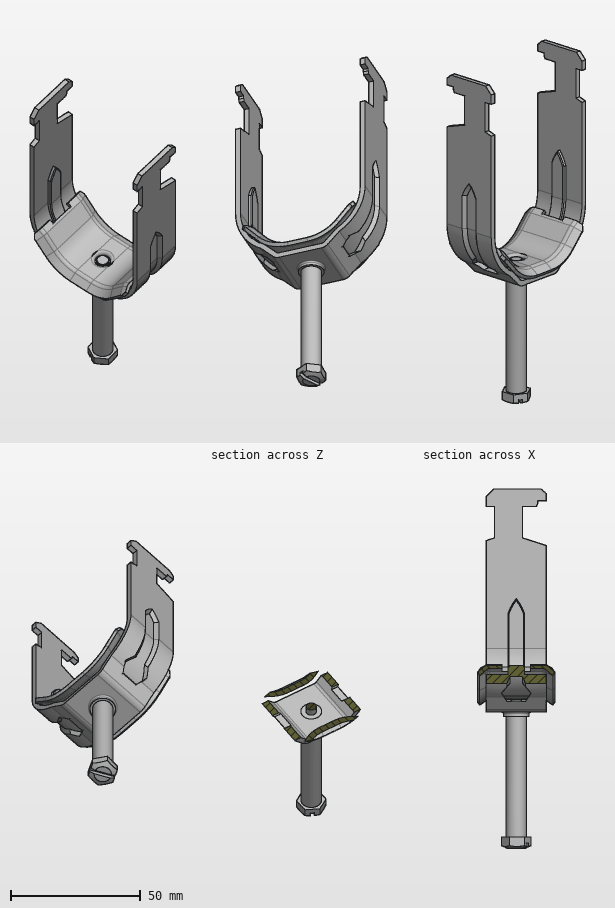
import cadquery as cq
import math

OVERALL_HEIGHT = 138.6
STRAP_SPAN = 53.6
STRAP_WIDTH = 23.3
STRAP_THICKNESS = 2.1
SHOULDER_RADIUS = 21.6
SHOULDER_Z = 77.0
BASE_Z = 52.5
BASE_HALF_LENGTH = 8.7
BASE_BEND_RADIUS = 3.7
RAMP_ANGLE = math.radians(45)

LEG_X = STRAP_SPAN / 2
HALF_WIDTH = STRAP_WIDTH / 2
SHOULDER_X = LEG_X - SHOULDER_RADIUS
SHOULDER_INNER_RADIUS = SHOULDER_RADIUS - STRAP_THICKNESS

HOOK_Z = 131.8
HOOK_STEP_Y = 8.3
HOOK_STEP_Z = 134.0
HOOK_STEP_RUN = 0.5
HOOK_STEP_DROP = 1.1
SMALL_CORNER_Y = 2.1
SMALL_CORNER_Z = 1.8
LARGE_CORNER = 2.9
NECK_FRONT_Y = -8.5
NECK_BACK_Y = 2.5
NECK_FOOT_Z = 119.8
SHOULDER_SLOPE = 0.32

RIB_WIDTH = 7.2
RIB_FLOOR_WIDTH = 4.7
RIB_POINT_BULGE = 0.6
RIB_DEPTH = 1.5
RIB_TIP_Z = 96.3
RIB_POINT_Z = 90.6
RIDGE_WIDTH = 6.4
RIDGE_BEVEL = 0.4
FLARE_WALL = 0.5
RIB_END_ANGLE = 53.0
FLARE_WIDTH = 11.4
FLARE_TOP_Z = 63.8
FLARE_WIDEST_Z = 59.9
FLARE_BOTTOM_Z = 56.8

COLLAR_DIAMETER = 10.0
COLLAR_FLARE = 0.5
COLLAR_HEIGHT = 1.7

SADDLE_Z = 59.0
SADDLE_THICKNESS = 1.5
SADDLE_FLAT_HALF = 4.0
SADDLE_RADIUS = 13.7
SADDLE_SLOPE = math.radians(48)
SADDLE_LIP_SLOPE = math.radians(35)
SADDLE_LIP_X = 19.4
SADDLE_END_X = 21.8
SADDLE_WIDTH = 30.0
FLANGE_START_Y = 10.3
FLANGE_BEND_RADIUS = 3.0
FLANGE_ANGLE = math.radians(34)
SADDLE_HOLE_DIAMETER = 6.0
SADDLE_HOLE_ROUND = 1.4
NOTCH_WIDTH = 10.8
NOTCH_X = 20.4
END_CORNER_X = 1.8
END_CORNER_Y = 2.1

SCREW_DIAMETER = 8.0
HEAD_HEIGHT = 4.5
HEAD_ACROSS_FLATS = 10.0
HEAD_TURN = 2.5
HEAD_FLAT_DIAMETER = 6.7
HEAD_BEVEL_HEIGHT = 1.1
SLOT_WIDTH = 1.5
SLOT_DEPTH = 2.1
SLOT_ANGLE = 62.0
NECK_DIAMETER = 4.0
TIP_DIAMETER = 5.0
TIP_END_DIAMETER = 4.5
TIP_DEPTH = 0.7


def on_shoulder(radius, angle):
    """Point of a shoulder bend; the angle is measured below the horizontal."""
    return (SHOULDER_X + radius * math.cos(angle), SHOULDER_Z - radius * math.sin(angle))


def strap_side_edge(shoulder_radius, base_radius, base_z, leg_x):
    """Points of one face of the strap half: base, bend, ramp, shoulder and leg."""
    bend_z = base_z + base_radius
    ramp_offset = base_radius + math.sin(RAMP_ANGLE) * (BASE_HALF_LENGTH - SHOULDER_X)
    ramp_offset += math.cos(RAMP_ANGLE) * (SHOULDER_Z - bend_z)
    kink_angle = RAMP_ANGLE + math.acos(ramp_offset / shoulder_radius)

    def on_bend(angle):
        return (BASE_HALF_LENGTH + base_radius * math.sin(angle), bend_z - base_radius * math.cos(angle))

    return {
        "base_end": on_bend(0),
        "bend_middle": on_bend(RAMP_ANGLE / 2),
        "ramp_start": on_bend(RAMP_ANGLE),
        "kink": on_shoulder(shoulder_radius, kink_angle),
        "shoulder_middle": on_shoulder(shoulder_radius, kink_angle / 2),
        "leg_start": (leg_x, SHOULDER_Z),
    }


def strap_half_sheet():
    inner_base_z = BASE_Z + STRAP_THICKNESS
    inner_leg_x = LEG_X - STRAP_THICKNESS
    inner_bend_radius = BASE_BEND_RADIUS - STRAP_THICKNESS
    outer = strap_side_edge(SHOULDER_RADIUS, BASE_BEND_RADIUS, BASE_Z, LEG_X)
    inner = strap_side_edge(SHOULDER_INNER_RADIUS, inner_bend_radius, inner_base_z, inner_leg_x)
    return (
        cq.Workplane("XZ")
        .moveTo(0, BASE_Z)
        .lineTo(*outer["base_end"])
        .threePointArc(outer["bend_middle"], outer["ramp_start"])
        .lineTo(*outer["kink"])
        .threePointArc(outer["shoulder_middle"], outer["leg_start"])
        .lineTo(LEG_X, OVERALL_HEIGHT)
        .lineTo(inner_leg_x, OVERALL_HEIGHT)
        .lineTo(*inner["leg_start"])
        .threePointArc(inner["shoulder_middle"], inner["kink"])
        .lineTo(*inner["ramp_start"])
        .threePointArc(inner["bend_middle"], inner["base_end"])
        .lineTo(0, inner_base_z)
        .close()
        .extrude(HALF_WIDTH, both=True)
    )


def leg_outline():
    """Prism along X with the outline of a leg, its neck and its hook."""
    front_edge_z = NECK_FOOT_Z - SHOULDER_SLOPE * (HALF_WIDTH + NECK_FRONT_Y)
    back_edge_z = NECK_FOOT_Z - SHOULDER_SLOPE * (HALF_WIDTH - NECK_BACK_Y)
    outline = [
        (-HALF_WIDTH, 0),
        (-HALF_WIDTH, front_edge_z),
        (NECK_FRONT_Y, NECK_FOOT_Z),
        (NECK_FRONT_Y, HOOK_Z),
        (-HALF_WIDTH, HOOK_Z),
        (-HALF_WIDTH, OVERALL_HEIGHT - LARGE_CORNER),
        (-HALF_WIDTH + LARGE_CORNER, OVERALL_HEIGHT),
        (HALF_WIDTH - SMALL_CORNER_Y, OVERALL_HEIGHT),
        (HALF_WIDTH, OVERALL_HEIGHT - SMALL_CORNER_Z),
        (HALF_WIDTH, HOOK_STEP_Z),
        (HOOK_STEP_Y, HOOK_STEP_Z),
        (HOOK_STEP_Y, HOOK_STEP_Z - HOOK_STEP_DROP),
        (HOOK_STEP_Y - HOOK_STEP_RUN, HOOK_Z),
        (NECK_BACK_Y, HOOK_Z),
        (NECK_BACK_Y, NECK_FOOT_Z),
        (HALF_WIDTH, back_edge_z),
        (HALF_WIDTH, 0),
    ]
    return cq.Workplane("YZ").polyline(outline).close().extrude(STRAP_SPAN)


def rib_outline(face_x, width):
    """Pointed outline of a rib on the leg, in the YZ plane at face_x."""
    half = width / 2
    side_y = RIB_POINT_BULGE * half
    side_z = (RIB_POINT_Z + RIB_TIP_Z) / 2
    return (
        cq.Workplane("YZ", origin=(face_x, 0, 0))
        .moveTo(-half, SHOULDER_Z)
        .lineTo(half, SHOULDER_Z)
        .lineTo(half, RIB_POINT_Z)
        .threePointArc((side_y, side_z), (0, RIB_TIP_Z))
        .threePointArc((-side_y, side_z), (-half, RIB_POINT_Z))
        .close()
    )


def turn_about_shoulder(section):
    """Turn a closed section, given as XY points, from the leg to the end of the rib."""
    return (
        cq.Workplane("XY", origin=(0, 0, SHOULDER_Z))
        .polyline(section)
        .close()
        .revolve(RIB_END_ANGLE, (SHOULDER_X, 0), (SHOULDER_X, 1))
    )


def flare_prism(margin):
    """Prism along X that widens the lower end of the rib and narrows again."""
    half_top = RIB_FLOOR_WIDTH / 2 + margin
    half_wide = FLARE_WIDTH / 2 + margin
    half_bottom = RIB_WIDTH / 2 + margin
    outline = [
        (-half_top, FLARE_TOP_Z),
        (-half_wide, FLARE_WIDEST_Z),
        (-half_bottom, FLARE_BOTTOM_Z),
        (half_bottom, FLARE_BOTTOM_Z),
        (half_wide, FLARE_WIDEST_Z),
        (half_top, FLARE_TOP_Z),
    ]
    return cq.Workplane("YZ").polyline(outline).close().extrude(STRAP_SPAN)


def raised_rib():
    """Ridge on the inner face: straight walls and a bevelled crest."""
    inner_face_x = LEG_X - STRAP_THICKNESS
    crest_x = inner_face_x - RIB_DEPTH
    half = RIDGE_WIDTH / 2
    leg_ridge = rib_outline(inner_face_x, RIDGE_WIDTH).extrude(-RIB_DEPTH)
    leg_ridge = leg_ridge.faces("<X").edges("not <Z").chamfer(RIDGE_BEVEL)
    shoulder_ridge = turn_about_shoulder([
        (inner_face_x, -half),
        (inner_face_x, half),
        (crest_x + RIDGE_BEVEL, half),
        (crest_x, half - RIDGE_BEVEL),
        (crest_x, RIDGE_BEVEL - half),
        (crest_x + RIDGE_BEVEL, -half),
    ])
    full_width_band = turn_about_shoulder([
        (crest_x, -HALF_WIDTH),
        (inner_face_x, -HALF_WIDTH),
        (inner_face_x, HALF_WIDTH),
        (crest_x, HALF_WIDTH),
    ])
    flare = full_width_band.intersect(flare_prism(FLARE_WALL))
    return leg_ridge.union(shoulder_ridge).union(flare)


def rib_groove():
    """Groove on the outer face: sloping walls, a flat floor and a flared lower end."""
    wall_run = (RIB_WIDTH - RIB_FLOOR_WIDTH) / 2
    taper = math.degrees(math.atan(wall_run / RIB_DEPTH))
    floor_x = LEG_X - RIB_DEPTH
    section = [
        (LEG_X, -RIB_WIDTH / 2),
        (LEG_X, RIB_WIDTH / 2),
        (floor_x, RIB_FLOOR_WIDTH / 2),
        (floor_x, -RIB_FLOOR_WIDTH / 2),
    ]
    point = rib_outline(LEG_X, RIB_WIDTH).extrude(-RIB_DEPTH, taper=taper)
    straight_run = (
        cq.Workplane("XY", origin=(0, 0, SHOULDER_Z))
        .polyline(section)
        .close()
        .extrude((RIB_POINT_Z - SHOULDER_Z) / 2)
    )
    floor_cylinder = (
        cq.Workplane("XZ", origin=(SHOULDER_X, 0, SHOULDER_Z))
        .circle(SHOULDER_RADIUS - RIB_DEPTH)
        .extrude(STRAP_WIDTH, both=True)
    )
    flare = flare_prism(0).cut(floor_cylinder)
    return point.union(straight_run).union(turn_about_shoulder(section)).union(flare)


def collar():
    radius = COLLAR_DIAMETER / 2
    wide = radius + COLLAR_FLARE
    arc_middle = COLLAR_FLARE * (1 - math.sqrt(0.5))
    top = BASE_Z + STRAP_THICKNESS / 2
    return (
        cq.Workplane("XZ")
        .moveTo(0, top)
        .lineTo(wide, top)
        .lineTo(wide, BASE_Z)
        .threePointArc((radius + arc_middle, BASE_Z - arc_middle), (radius, BASE_Z - COLLAR_FLARE))
        .lineTo(radius, BASE_Z - COLLAR_HEIGHT)
        .lineTo(0, BASE_Z - COLLAR_HEIGHT)
        .close()
        .revolve(360, (0, 0), (0, 1))
    )


def make_strap():
    half = strap_half_sheet().intersect(leg_outline())
    half = half.union(raised_rib()).cut(rib_groove())
    strap = half.union(half.mirror("YZ")).union(collar())
    screw_hole = cq.Workplane("XY").circle(SCREW_DIAMETER / 2).extrude(SADDLE_Z)
    return strap.cut(screw_hole)


def saddle_path():
    """Line of the saddle's upper face in XZ, from the -X end to the +X end."""
    arc_end_x = SADDLE_FLAT_HALF + SADDLE_RADIUS * math.sin(SADDLE_SLOPE)
    arc_end_z = SADDLE_Z + SADDLE_RADIUS * (1 - math.cos(SADDLE_SLOPE))
    half_slope = SADDLE_SLOPE / 2
    arc_middle_x = SADDLE_FLAT_HALF + SADDLE_RADIUS * math.sin(half_slope)
    arc_middle_z = SADDLE_Z + SADDLE_RADIUS * (1 - math.cos(half_slope))
    lip_z = arc_end_z + (SADDLE_LIP_X - arc_end_x) * math.tan(SADDLE_SLOPE)
    end_z = lip_z + (SADDLE_END_X - SADDLE_LIP_X) * math.tan(SADDLE_LIP_SLOPE)
    path = (
        cq.Workplane("XZ")
        .moveTo(-SADDLE_END_X, end_z)
        .lineTo(-SADDLE_LIP_X, lip_z)
        .lineTo(-arc_end_x, arc_end_z)
        .threePointArc((-arc_middle_x, arc_middle_z), (-SADDLE_FLAT_HALF, SADDLE_Z))
        .lineTo(SADDLE_FLAT_HALF, SADDLE_Z)
        .threePointArc((arc_middle_x, arc_middle_z), (arc_end_x, arc_end_z))
        .lineTo(SADDLE_LIP_X, lip_z)
        .lineTo(SADDLE_END_X, end_z)
    )
    return path, end_z


def saddle_section(plane):
    """Channel section: flat middle and two flanges bent down at the sides."""
    t = SADDLE_THICKNESS
    sin_flange = math.sin(FLANGE_ANGLE)
    cos_flange = math.cos(FLANGE_ANGLE)
    tip_y = SADDLE_WIDTH / 2
    bend_y = FLANGE_START_Y + FLANGE_BEND_RADIUS * sin_flange
    bend_drop = FLANGE_BEND_RADIUS * (1 - cos_flange)
    tip_drop = bend_drop + (tip_y - bend_y) * math.tan(FLANGE_ANGLE)

    def bend_point(angle, depth):
        radius = FLANGE_BEND_RADIUS - depth
        return (FLANGE_START_Y + radius * math.sin(angle), -FLANGE_BEND_RADIUS + radius * math.cos(angle))

    def left(point):
        return (-point[0], point[1])

    half_angle = FLANGE_ANGLE / 2
    upper_tip = (tip_y, -tip_drop)
    lower_tip = (tip_y - t * sin_flange, -tip_drop - t * cos_flange)
    return (
        cq.Workplane(plane)
        .moveTo(-FLANGE_START_Y, 0)
        .lineTo(FLANGE_START_Y, 0)
        .threePointArc(bend_point(half_angle, 0), bend_point(FLANGE_ANGLE, 0))
        .lineTo(*upper_tip)
        .lineTo(*lower_tip)
        .lineTo(*bend_point(FLANGE_ANGLE, t))
        .threePointArc(bend_point(half_angle, t), bend_point(0, t))
        .lineTo(-FLANGE_START_Y, -t)
        .threePointArc(left(bend_point(half_angle, t)), left(bend_point(FLANGE_ANGLE, t)))
        .lineTo(*left(lower_tip))
        .lineTo(*left(upper_tip))
        .lineTo(*left(bend_point(FLANGE_ANGLE, 0)))
        .threePointArc(left(bend_point(half_angle, 0)), (-FLANGE_START_Y, 0))
        .close()
    )


def make_saddle():
    path, end_z = saddle_path()
    start_plane = cq.Plane(
        origin=(-SADDLE_END_X, 0, end_z),
        xDir=(0, 1, 0),
        normal=(math.cos(SADDLE_LIP_SLOPE), 0, -math.sin(SADDLE_LIP_SLOPE)),
    )
    saddle = saddle_section(start_plane).sweep(path, transition="right")

    radius = SADDLE_HOLE_DIAMETER / 2
    mouth = radius + SADDLE_HOLE_ROUND
    arc_middle = SADDLE_HOLE_ROUND * (1 - math.sqrt(0.5))
    hole = (
        cq.Workplane("XZ")
        .moveTo(0, SADDLE_Z)
        .lineTo(mouth, SADDLE_Z)
        .threePointArc((radius + arc_middle, SADDLE_Z - arc_middle), (radius, SADDLE_Z - SADDLE_HOLE_ROUND))
        .lineTo(radius, BASE_Z)
        .lineTo(0, BASE_Z)
        .close()
        .revolve(360, (0, 0), (0, 1))
    )
    saddle = saddle.cut(hole)

    for side in (-1, 1):
        notch = cq.Workplane("XY", origin=(side * (NOTCH_X + SADDLE_END_X / 2), 0, end_z)).box(
            SADDLE_END_X, NOTCH_WIDTH, SADDLE_END_X
        )
        saddle = saddle.cut(notch)
        for flange in (-1, 1):
            tip_y = flange * SADDLE_WIDTH / 2
            corner = [
                (side * SADDLE_END_X, tip_y),
                (side * (SADDLE_END_X + 2 * END_CORNER_X), tip_y),
                (side * (SADDLE_END_X + 2 * END_CORNER_X), tip_y - flange * 2 * END_CORNER_Y),
            ]
            saddle = saddle.cut(cq.Workplane("XY").polyline(corner).close().extrude(OVERALL_HEIGHT))
    return saddle


def make_screw():
    corner_diameter = HEAD_ACROSS_FLATS / math.cos(math.radians(30))
    head = (
        cq.Workplane("XY")
        .transformed(rotate=(0, 0, 30 + HEAD_TURN))
        .polygon(6, corner_diameter)
        .extrude(HEAD_HEIGHT)
    )
    bevel = (
        cq.Workplane("XZ")
        .polyline([
            (0, 0),
            (HEAD_FLAT_DIAMETER / 2, 0),
            (corner_diameter / 2, HEAD_BEVEL_HEIGHT),
            (corner_diameter / 2, HEAD_HEIGHT),
            (0, HEAD_HEIGHT),
        ])
        .close()
        .revolve(360, (0, 0), (0, 1))
    )
    slot = (
        cq.Workplane("XY")
        .transformed(rotate=(0, 0, SLOT_ANGLE))
        .rect(2 * corner_diameter, SLOT_WIDTH)
        .extrude(SLOT_DEPTH)
    )
    head = head.intersect(bevel).cut(slot)

    shank_end_z = BASE_Z + STRAP_THICKNESS
    neck_end_z = SADDLE_Z - SADDLE_THICKNESS
    tip_z = SADDLE_Z - TIP_DEPTH
    tip_bevel = (TIP_DIAMETER - TIP_END_DIAMETER) / 2
    shank = (
        cq.Workplane("XZ")
        .polyline([
            (0, HEAD_HEIGHT),
            (SCREW_DIAMETER / 2, HEAD_HEIGHT),
            (SCREW_DIAMETER / 2, shank_end_z),
            (NECK_DIAMETER / 2, shank_end_z),
            (NECK_DIAMETER / 2, neck_end_z),
            (TIP_DIAMETER / 2, neck_end_z),
            (TIP_DIAMETER / 2, tip_z - tip_bevel),
            (TIP_END_DIAMETER / 2, tip_z),
            (0, tip_z),
        ])
        .close()
        .revolve(360, (0, 0), (0, 1))
    )
    return head.union(shank)


strap = make_strap()
saddle = make_saddle()
screw = make_screw()

result = cq.Compound.makeCompound([body.solids().val() for body in (strap, saddle, screw)])